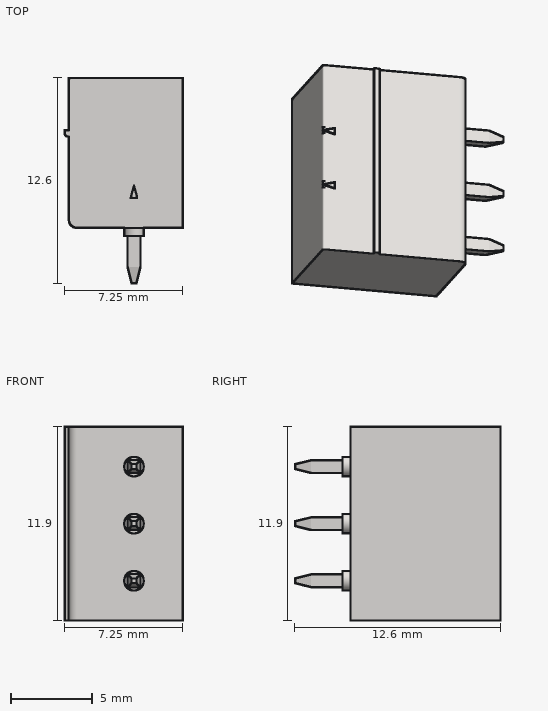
import cadquery as cq

BODY_WIDTH = 7.0
BODY_DEPTH = 9.2
BODY_HEIGHT = 11.9
FRONT_CORNER_RADIUS = 0.5
REAR_CORNER_RADIUS = 0.1

RIB_PROJECTION = 0.25
RIB_WIDTH = 0.4
RIB_RADIUS = 0.2
RIB_REAR_Y = BODY_DEPTH - 3.2

PIN_COUNT = 3
PIN_PITCH = 3.5
PIN_X = BODY_WIDTH - 3.0
COLLAR_DIAMETER = 1.2
COLLAR_LENGTH = 0.5
PIN_SIDE = 0.8
PIN_LENGTH = 3.4
TIP_LENGTH = 1.0
TIP_SIDE = 0.3

ARROW_LENGTH = 0.75
ARROW_BASE = 0.4
ARROW_DEPTH = 0.1
TOP_ARROW_BASE_Y = 1.85


def centred_positions(count):
    """Heights of a row at pin pitch, centred on the mid height."""
    return [(i - (count - 1) / 2) * PIN_PITCH for i in range(count)]


PIN_HEIGHTS = centred_positions(PIN_COUNT)
LEFT_ARROW_HEIGHTS = centred_positions(PIN_COUNT - 1)


def make_block():
    """Rectangular housing with both left corners rounded."""
    block = cq.Workplane("XY").box(BODY_WIDTH, BODY_DEPTH, BODY_HEIGHT, centered=(False, False, True))
    block = block.edges("|Z and <X and <Y").fillet(FRONT_CORNER_RADIUS)
    return block.edges("|Z and <X and >Y").fillet(REAR_CORNER_RADIUS)


def make_rib():
    """Rib along the left face, rounded on its front outer edge."""
    rib = (
        cq.Workplane("XY")
        .box(RIB_PROJECTION, RIB_WIDTH, BODY_HEIGHT, centered=(False, False, True))
        .edges("|Z and <X and <Y")
        .fillet(RIB_RADIUS)
    )
    return rib.translate((-RIB_PROJECTION, RIB_REAR_Y - RIB_WIDTH, 0))


def make_sharp_corner(z):
    """Short square stretch of the left rear corner, beside a left arrow."""
    sharp_corner = cq.Workplane("XY").box(
        REAR_CORNER_RADIUS, REAR_CORNER_RADIUS, ARROW_BASE, centered=(False, False, True)
    )
    return sharp_corner.translate((0, BODY_DEPTH - REAR_CORNER_RADIUS, z))


def make_left_arrow(z):
    """Arrow recess in the left face, its point on the rear face."""
    base_y = BODY_DEPTH - ARROW_LENGTH
    return (
        cq.Workplane("YZ")
        .moveTo(base_y, z - ARROW_BASE / 2)
        .lineTo(BODY_DEPTH, z)
        .lineTo(base_y, z + ARROW_BASE / 2)
        .close()
        .extrude(ARROW_DEPTH)
    )


def make_top_arrow():
    """Arrow recess in the top face, in line with the pins."""
    return (
        cq.Workplane("XY", origin=(0, 0, BODY_HEIGHT / 2))
        .moveTo(PIN_X - ARROW_BASE / 2, TOP_ARROW_BASE_Y)
        .lineTo(PIN_X, TOP_ARROW_BASE_Y + ARROW_LENGTH)
        .lineTo(PIN_X + ARROW_BASE / 2, TOP_ARROW_BASE_Y)
        .close()
        .extrude(-ARROW_DEPTH)
    )


def make_pin(z):
    """Round collar and square pin with a tapered tip, pointing to -Y."""
    shaft_end = PIN_LENGTH - TIP_LENGTH
    face = cq.Workplane("XZ", origin=(PIN_X, 0, z))
    collar = face.circle(COLLAR_DIAMETER / 2).extrude(COLLAR_LENGTH)
    shaft = face.rect(PIN_SIDE, PIN_SIDE).extrude(shaft_end)
    tip = (
        face.workplane(offset=shaft_end)
        .rect(PIN_SIDE, PIN_SIDE)
        .workplane(offset=TIP_LENGTH)
        .rect(TIP_SIDE, TIP_SIDE)
        .loft(ruled=True)
    )
    return collar.union(shaft).union(tip)


result = make_block().union(make_rib()).cut(make_top_arrow())
for height in LEFT_ARROW_HEIGHTS:
    result = result.union(make_sharp_corner(height)).cut(make_left_arrow(height))
for height in PIN_HEIGHTS:
    result = result.union(make_pin(height))